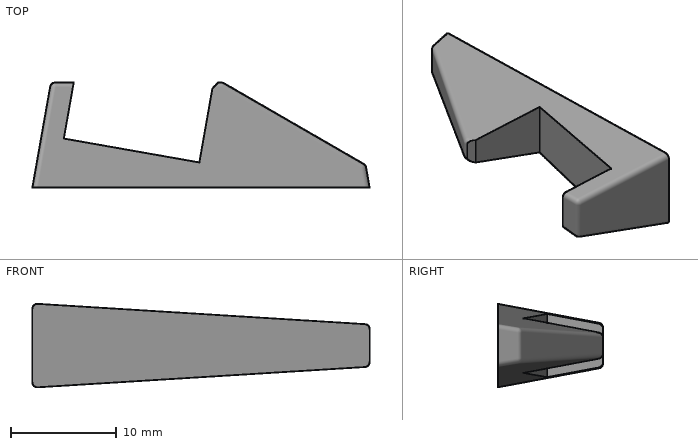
import cadquery as cq
import math

LENGTH = 32.0
RISE = 10.0
LEFT_HEIGHT = 8.0
RIGHT_HEIGHT = 4.03
DRAFT = 10.0
EDGE_RADIUS = 0.5

CREST_X = 18.05
BACK_ANGLE = 30.0

SLOT_CORNER = (3.0, 4.67)
SLOT_WIDTH = 13.02
LIP_CHAMFER = 0.58


def through_prism(points):
    """Prism with an XY outline, passing right through the part along Z."""
    return cq.Workplane("XY").polyline(points).close().extrude(LEFT_HEIGHT, both=True)


def make_block():
    """Drafted wedge with its back sloped and its outer edges rounded."""
    base_plane = cq.Plane(origin=(0, 0, 0), xDir=(1, 0, 0), normal=(0, 1, 0))
    base = [
        (0, -LEFT_HEIGHT / 2),
        (LENGTH, -RIGHT_HEIGHT / 2),
        (LENGTH, RIGHT_HEIGHT / 2),
        (0, LEFT_HEIGHT / 2),
    ]
    wedge = cq.Workplane(base_plane).polyline(base).close().extrude(RISE, taper=DRAFT)
    back_drop = (LENGTH - CREST_X) * math.tan(math.radians(BACK_ANGLE))
    above_back = through_prism([(CREST_X, RISE), (LENGTH, RISE - back_drop), (LENGTH, RISE)])
    return wedge.cut(above_back).edges("not(<Y)").fillet(EDGE_RADIUS)


def make_slot():
    """Tilted slot, open at the top, with a bevel on its right lip."""
    tilt = math.radians(DRAFT)
    left_x, left_y = SLOT_CORNER
    right_x = left_x + SLOT_WIDTH * math.cos(tilt)
    right_y = left_y - SLOT_WIDTH * math.sin(tilt)
    left_top_x = left_x + (RISE - left_y) * math.tan(tilt)
    bevel_y = RISE - LIP_CHAMFER
    bevel_x = right_x + (bevel_y - right_y) * math.tan(tilt)
    return through_prism([
        (left_x, left_y),
        (right_x, right_y),
        (bevel_x, bevel_y),
        (bevel_x + LIP_CHAMFER, RISE),
        (left_top_x, RISE),
    ])


result = make_block().cut(make_slot())